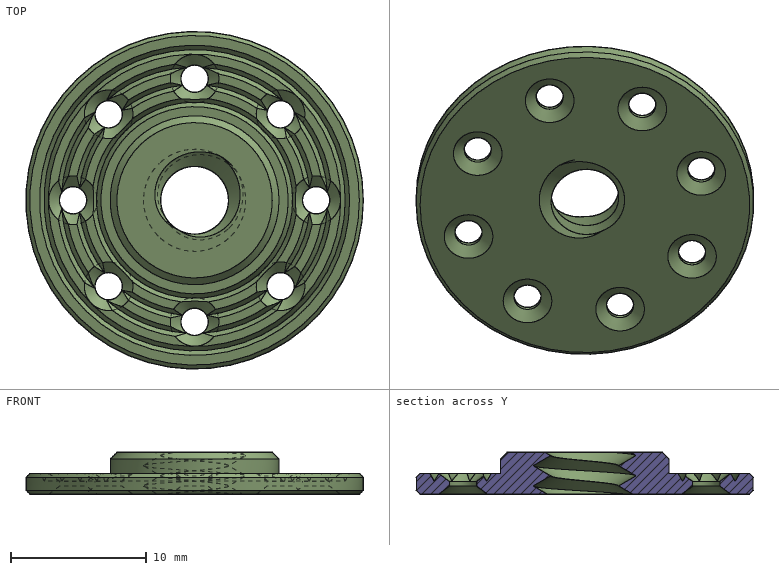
import cadquery as cq
import math

disc_diameter = 25.0
total_height = 3.12
disc_thickness = total_height / 2
disc_chamfer = 0.3
boss_diameter = disc_diameter / 2
boss_chamfer = 0.5

groove_count = 4
inner_groove_radius = 7.26
outer_groove_radius = 11.15
groove_width = 0.66
groove_angle = 60.0
groove_depth = groove_width / 2 / math.tan(math.radians(groove_angle / 2))

hole_count = 8
hole_circle_radius = 9.0
hole_diameter = 2.0
countersink_diameter = 3.6
countersink_depth = 0.6

thread_minor_radius = 2.5
thread_pitch = 1.5
thread_angle = 60.0
top_root_direction = 60.0
thread_crest_width = 0.02
thread_overlap = 0.005
thread_turns = 6
thread_turns_above = 2


def make_body():
    disc = cq.Workplane("XY").circle(disc_diameter / 2).extrude(disc_thickness)
    disc = disc.edges().chamfer(disc_chamfer)
    boss = cq.Workplane("XY").circle(boss_diameter / 2).extrude(total_height)
    boss = boss.faces(">Z").edges().chamfer(boss_chamfer)
    return disc.union(boss)


def make_groove(radius):
    """Ring with a 60 degree V section, open at the flange top."""
    section = (
        cq.Workplane("XZ")
        .moveTo(radius - groove_width / 2, disc_thickness)
        .lineTo(radius, disc_thickness - groove_depth)
        .lineTo(radius + groove_width / 2, disc_thickness)
        .close()
    )
    return section.revolve(360, (0, 0, 0), (0, 1, 0))


def make_thread_groove():
    """Cutter that winds a V section up the bore, running past both ends of the part."""
    flank_slope = math.tan(math.radians(thread_angle / 2))
    half_width = (thread_pitch - thread_crest_width) / 2 + thread_overlap * flank_slope
    base_radius = thread_minor_radius - thread_overlap
    root_radius = base_radius + half_width / flank_slope
    section = (
        cq.Workplane("XZ")
        .moveTo(base_radius, -half_width)
        .lineTo(root_radius, 0)
        .lineTo(base_radius, half_width)
        .close()
    )
    helix = cq.Wire.makeHelix(thread_pitch, thread_turns * thread_pitch, thread_minor_radius)
    groove = section.sweep(cq.Workplane(helix), isFrenet=True)
    start_height = total_height - (thread_turns - thread_turns_above) * thread_pitch
    return groove.rotate((0, 0, 0), (0, 0, 1), top_root_direction).translate((0, 0, start_height))


def cut_threaded_bore(body):
    bore = cq.Workplane("XY").circle(thread_minor_radius).extrude(total_height)
    return body.cut(make_thread_groove()).cut(bore)


def cut_grooves(body):
    groove_pitch = (outer_groove_radius - inner_groove_radius) / (groove_count - 1)
    for index in range(groove_count):
        body = body.cut(make_groove(inner_groove_radius + index * groove_pitch))
    return body


def make_hole():
    """Cutter for one hole, countersunk from both faces of the flange."""
    hole = cq.Workplane("XY").circle(hole_diameter / 2).extrude(disc_thickness)
    upper_countersink = (
        cq.Workplane("XY", origin=(0, 0, disc_thickness - countersink_depth))
        .circle(hole_diameter / 2)
        .workplane(offset=countersink_depth)
        .circle(countersink_diameter / 2)
        .loft(ruled=True)
    )
    lower_countersink = upper_countersink.mirror("XY", (0, 0, disc_thickness / 2))
    return hole.union(upper_countersink).union(lower_countersink)


def cut_hole_ring(body):
    hole = make_hole().translate((hole_circle_radius, 0, 0))
    for index in range(hole_count):
        body = body.cut(hole.rotate((0, 0, 0), (0, 0, 1), index * 360 / hole_count))
    return body


flange = cut_hole_ring(cut_grooves(cut_threaded_bore(make_body())))
result = cq.Workplane(flange.solids().val())